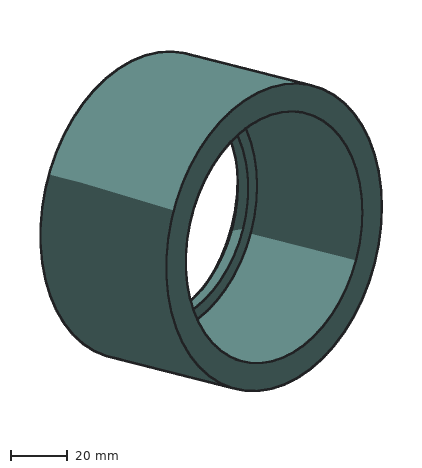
import cadquery as cq

length = 61.0
outer_diameter = 110.0
lip_diameter = 81.0
bore_diameter = 90.0
chamfer_size = 5.1
lip_end = 10.0

outer_radius = outer_diameter / 2
lip_radius = lip_diameter / 2
bore_radius = bore_diameter / 2
mouth_radius = lip_radius + chamfer_size

half_section = (
    cq.Workplane("XY")
    .moveTo(0, mouth_radius)
    .lineTo(0, outer_radius)
    .lineTo(length, outer_radius)
    .lineTo(length, bore_radius)
    .lineTo(lip_end, bore_radius)
    .lineTo(lip_end, lip_radius)
    .lineTo(chamfer_size, lip_radius)
    .close()
)

result = half_section.revolve(360, (0, 0, 0), (1, 0, 0))